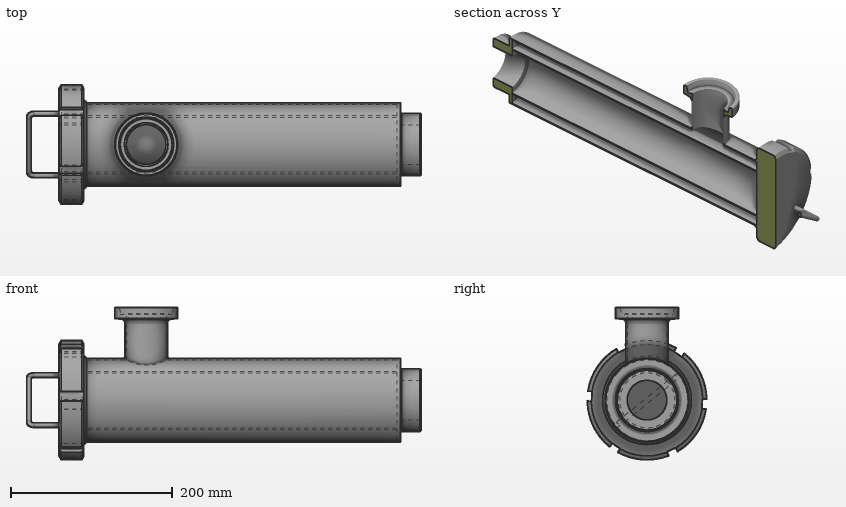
import cadquery as cq
import math

WALL = 2.0

BODY_DIAMETER = 104.0
BODY_BORE = BODY_DIAMETER - 2 * WALL
BODY_END_X = 315.0
BODY_END_CHAMFER = 1.0
END_WALL = 5.0

NUT_DIAMETER = 148.0
NUT_FRONT_X = -108.0
NUT_LENGTH = 31.0
NUT_BACK_X = NUT_FRONT_X + NUT_LENGTH
NUT_CHAMFER_LENGTH = 3.0
NUT_CHAMFER_DEPTH = 5.0
SLOT_COUNT = 6
SLOT_WIDTH = 12.0
SLOT_FLOOR_RADIUS = 68.5
SLOT_TILT = -3.9

COLLAR_DIAMETER = 110.0
COLLAR_LENGTH = 3.5

CORE_DIAMETER = 72.0
CORE_BORE = CORE_DIAMETER - 2 * WALL

BRANCH_DIAMETER = 53.0
BRANCH_BORE = BRANCH_DIAMETER - 2 * WALL
BRANCH_TOP_Z = 115.0
FLANGE_DIAMETER = 78.0
FLANGE_THICKNESS = 14.0
FLANGE_CHAMFER = 1.0
FLANGE_UNDERSIDE_DROP = 1.0
FLANGE_FILLET = 4.0
SOCKET_DIAMETER = 68.0
SOCKET_DEPTH = 6.5
GROOVE_DIAMETER = 64.0
GROOVE_DEPTH = 9.0
LIP_DIAMETER = 54.0
LIP_HEIGHT = 1.5
BRANCH_WELD_FILLET = 1.5

OUTLET_LENGTH = 25.5
OUTLET_CHAMFER = 2.0
OUTLET_ROOT_CHAMFER = 1.0
OUTLET_BORE = BRANCH_BORE
OUTLET_END_X = BODY_END_X + OUTLET_LENGTH

HANDLE_ROD = 6.0
HANDLE_SPAN = 98.3
HANDLE_REACH = 40.0
HANDLE_TILT = 39.0
HANDLE_BEND = 6.0


def x_cylinder(diameter, x_start, x_end):
    """Solid cylinder on the X axis between two stations."""
    return cq.Workplane("YZ", origin=(x_start, 0, 0)).circle(diameter / 2).extrude(x_end - x_start)


def make_nut():
    """Nut and lid as one chamfered disc, with spanner slots around the rim."""
    radius = NUT_DIAMETER / 2
    shoulder = radius - NUT_CHAMFER_DEPTH
    nut = (
        cq.Workplane("XY")
        .moveTo(NUT_FRONT_X, 0)
        .lineTo(NUT_FRONT_X, shoulder)
        .lineTo(NUT_FRONT_X + NUT_CHAMFER_LENGTH, radius)
        .lineTo(NUT_BACK_X - NUT_CHAMFER_LENGTH, radius)
        .lineTo(NUT_BACK_X, shoulder)
        .lineTo(NUT_BACK_X, 0)
        .close()
        .revolve(360, (0, 0, 0), (1, 0, 0))
    )
    slot = cq.Workplane("XY").box(NUT_LENGTH, radius, SLOT_WIDTH)
    slot = slot.translate((NUT_FRONT_X + NUT_LENGTH / 2, SLOT_FLOOR_RADIUS + radius / 2, 0))
    for index in range(SLOT_COUNT):
        angle = SLOT_TILT + index * 360 / SLOT_COUNT
        nut = nut.cut(slot.rotate((0, 0, 0), (1, 0, 0), angle))
    return nut


def make_collar():
    return (
        cq.Workplane("XY")
        .moveTo(NUT_BACK_X, 0)
        .lineTo(NUT_BACK_X, COLLAR_DIAMETER / 2)
        .lineTo(NUT_BACK_X + COLLAR_LENGTH, BODY_DIAMETER / 2)
        .lineTo(NUT_BACK_X + COLLAR_LENGTH, 0)
        .close()
        .revolve(360, (0, 0, 0), (1, 0, 0))
    )


def make_body():
    return x_cylinder(BODY_DIAMETER, NUT_BACK_X, BODY_END_X).faces(">X").chamfer(BODY_END_CHAMFER)


def make_outlet():
    spigot = x_cylinder(FLANGE_DIAMETER, BODY_END_X, OUTLET_END_X)
    return spigot.faces(">X").chamfer(OUTLET_CHAMFER).faces("<X").chamfer(OUTLET_ROOT_CHAMFER)


def make_branch():
    """Branch tube with its flange, turned about Z from the body axis up."""
    tube_radius = BRANCH_DIAMETER / 2
    flange_radius = FLANGE_DIAMETER / 2
    flange_bottom = BRANCH_TOP_Z - FLANGE_THICKNESS
    fillet_top = flange_bottom - FLANGE_UNDERSIDE_DROP
    bulge = FLANGE_FILLET * (1 - math.sqrt(0.5))
    return (
        cq.Workplane("XZ")
        .lineTo(tube_radius, 0)
        .lineTo(tube_radius, fillet_top - FLANGE_FILLET)
        .threePointArc(
            (tube_radius + bulge, fillet_top - bulge),
            (tube_radius + FLANGE_FILLET, fillet_top),
        )
        .lineTo(flange_radius, flange_bottom)
        .lineTo(flange_radius, BRANCH_TOP_Z - FLANGE_CHAMFER)
        .lineTo(flange_radius - FLANGE_CHAMFER, BRANCH_TOP_Z)
        .lineTo(0, BRANCH_TOP_Z)
        .close()
        .revolve(360, (0, 0, 0), (0, 1, 0))
    )


def make_branch_bore():
    """Tapered socket, seal groove with its inner lip, and bore of the branch, turned about Z."""
    bore_radius = BRANCH_BORE / 2
    groove_radius = GROOVE_DIAMETER / 2
    lip_radius = LIP_DIAMETER / 2
    groove_z = BRANCH_TOP_Z - GROOVE_DEPTH
    lip_z = groove_z + LIP_HEIGHT
    return (
        cq.Workplane("XZ")
        .lineTo(bore_radius, 0)
        .lineTo(bore_radius, lip_z)
        .lineTo(lip_radius, lip_z)
        .lineTo(lip_radius, groove_z)
        .lineTo(groove_radius, groove_z)
        .lineTo(groove_radius, BRANCH_TOP_Z - SOCKET_DEPTH)
        .lineTo(SOCKET_DIAMETER / 2, BRANCH_TOP_Z)
        .lineTo(0, BRANCH_TOP_Z)
        .close()
        .revolve(360, (0, 0, 0), (0, 1, 0))
    )


def make_handle():
    """Rod bent into a U, standing on the lid and turned about the body axis."""
    half_span = HANDLE_SPAN / 2
    outer_x = NUT_FRONT_X - HANDLE_REACH + HANDLE_ROD / 2
    bend_x = outer_x + HANDLE_BEND
    bulge = HANDLE_BEND * (1 - math.sqrt(0.5))
    path = (
        cq.Workplane("XY")
        .moveTo(NUT_FRONT_X, half_span)
        .lineTo(bend_x, half_span)
        .threePointArc((outer_x + bulge, half_span - bulge), (outer_x, half_span - HANDLE_BEND))
        .lineTo(outer_x, HANDLE_BEND - half_span)
        .threePointArc((outer_x + bulge, bulge - half_span), (bend_x, -half_span))
        .lineTo(NUT_FRONT_X, -half_span)
    )
    rod = cq.Workplane("YZ", origin=(NUT_FRONT_X, half_span, 0)).circle(HANDLE_ROD / 2).sweep(path)
    return rod.rotate((0, 0, 0), (1, 0, 0), HANDLE_TILT)


def make_cavity():
    """Annular space between the body tube and the strainer core."""
    cavity_end_x = BODY_END_X - END_WALL
    chamber = x_cylinder(BODY_BORE, NUT_BACK_X, cavity_end_x)
    return chamber.cut(x_cylinder(CORE_DIAMETER, NUT_BACK_X, cavity_end_x))


def make_core_bore():
    """Inside of the strainer core, opening through the outlet."""
    core_bore = x_cylinder(CORE_BORE, NUT_BACK_X, BODY_END_X - END_WALL)
    return core_bore.union(x_cylinder(OUTLET_BORE, NUT_BACK_X, OUTLET_END_X))


def make_shell():
    """Outer form without the handle, with a weld fillet where the branch meets the body."""
    tee = make_body().union(make_branch())
    reach = BRANCH_DIAMETER
    body_radius = BODY_DIAMETER / 2
    weld_zone = cq.selectors.BoxSelector((-reach, -reach, body_radius / 2), (reach, reach, body_radius))
    tee = tee.edges(weld_zone).fillet(BRANCH_WELD_FILLET)
    return tee.union(make_collar()).union(make_nut()).union(make_outlet())


branch_opening = make_branch_bore().cut(x_cylinder(CORE_DIAMETER, NUT_BACK_X, BODY_END_X))
result = make_shell().cut(branch_opening).cut(make_cavity()).cut(make_core_bore()).union(make_handle())